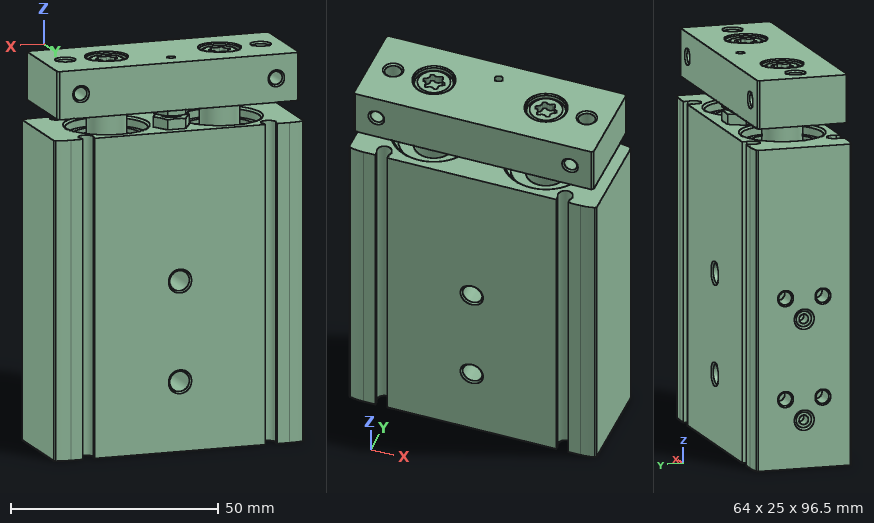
import cadquery as cq
import math

TOTAL_HEIGHT = 96.5
HOUSING_WIDTH = 64.0
HOUSING_DEPTH = 25.0
PLATE_WIDTH = 62.0
PLATE_DEPTH = 23.0
PLATE_THICKNESS = 12.0
STROKE_GAP = 5.0
HOUSING_HEIGHT = TOTAL_HEIGHT - PLATE_THICKNESS - STROKE_GAP
PLATE_BOTTOM = HOUSING_HEIGHT + STROKE_GAP
PLATE_MID = PLATE_BOTTOM + PLATE_THICKNESS / 2

CROWN_START_X = 28.0
CROWN_DROP = 0.5
CORNER_CHAMFER = 0.4

SLOT_X = 23.4
SLOT_DIAMETER = 3.7
SLOT_MOUTH = 3.1
SLOT_CENTRE_DEPTH = 2.1
SLOT_OVERRUN = 1.0

HOLE_PITCH = 25.0
MOUNT_HOLE_DIAMETER = 5.0
MOUNT_HOLE_MOUTH = 5.9
MOUNT_HOLE_Z = 17.4
SIDE_HOLE_DIAMETER = 3.3
SIDE_HOLE_MOUTH = 4.0
SIDE_HOLE_DEPTH = 5.8
SIDE_HOLE_Y = 4.7
PORT_MOUTH = 5.0
PORT_FLOOR_DIAMETER = 3.9
PORT_DEPTH = 0.4
PORT_PILOT_DIAMETER = 2.3
PORT_PILOT_DEPTH = 3.9
PORT_Z = 12.0
DRILL_HALF_ANGLE = 59.0

ROD_X = 14.5
ROD_DIAMETER = 9.8
ROD_INSERTION = 67.55
ROD_TOP_RECESS = 0.6
ROD_NECK_DIAMETER = 9.5
ROD_NECK_LENGTH = 2.9
ROD_END_FLAT = 8.0
ROD_END_CHAMFER_HEIGHT = 0.5
BORE_MOUTH = 21.0
BORE_DIAMETER = 20.0
BORE_DEPTH = 2.5
GLAND_DIAMETER = 17.2
GLAND_DEPTH = 1.2

SOCKET_TIP_DIAMETER = 5.5
SOCKET_VALLEY_DIAMETER = 4.1
SOCKET_FLANK_DIAMETER = 4.7
SOCKET_FLANK_ANGLE = 13.0
SOCKET_LOBES = 6
SOCKET_DEPTH = 1.9

PLATE_CORNER_CHAMFER = 0.5
PLATE_HOLE_X = 25.0
PLATE_TOP_HOLE_DIAMETER = 4.15
PLATE_TOP_HOLE_MOUTH = 5.0
PLATE_CROSS_HOLE_DIAMETER = 3.3
PLATE_CROSS_HOLE_MOUTH = 4.15
PLATE_TOP_HOLE_OVERLAP = 0.02
PLATE_ROD_HOLE_MOUTH = 10.5

BOLT_Y = 6.0
BOLT_DIAMETER = 4.9
BOLT_ACCESS_DIAMETER = 2.0
BOLT_ENGAGEMENT = 7.7
HEX_FLATS = 8.0
HEAD_HEIGHT = 2.6
HEAD_FACE_DIAMETER = 8.0
NUT_HEIGHT = 1.8
NUT_FACE_DIAMETER = 6.85
HEX_CHAMFER_ANGLE = 15.0


def bore(diameter, depth, mouth=None):
    """Cutter for a hole entering at the origin along -Z, with an optional 45 degree mouth."""
    radius = diameter / 2
    cutter = cq.Workplane("XY").circle(radius).extrude(-depth)
    if mouth:
        flare = (mouth - diameter) / 2
        cone = cq.Solid.makeCone(radius, mouth / 2, flare, pnt=cq.Vector(0, 0, -flare))
        cutter = cutter.union(cq.Workplane(cone))
    return cutter


def facing_front(cutter, x, y, z):
    """Turn a cutter so its mouth faces -Y and move it to a point on that face."""
    return cutter.rotate((0, 0, 0), (1, 0, 0), 90).translate((x, y, z))


def facing_left(cutter, x, y, z):
    """Turn a cutter so its mouth faces -X and move it to a point on that face."""
    return cutter.rotate((0, 0, 0), (0, 1, 0), -90).translate((x, y, z))


def through_in_y(diameter, mouth, depth, x, z):
    """Hole through the full depth along Y, flared at both ends."""
    front = facing_front(bore(diameter, depth, mouth), x, -depth / 2, z)
    return front.union(front.mirror("XZ"))


def housing_blank():
    half_x = HOUSING_WIDTH / 2
    half_y = HOUSING_DEPTH / 2
    crown_end = (half_x - CORNER_CHAMFER, half_y - CROWN_DROP)
    run = crown_end[0] - CROWN_START_X
    radius = (run**2 + CROWN_DROP**2) / (2 * CROWN_DROP)
    mid_run = run / 2
    mid_y = half_y - radius + math.sqrt(radius**2 - mid_run**2)
    quarter = (
        cq.Workplane("XY")
        .moveTo(0, 0)
        .lineTo(0, half_y)
        .lineTo(CROWN_START_X, half_y)
        .threePointArc((CROWN_START_X + mid_run, mid_y), crown_end)
        .lineTo(half_x, crown_end[1] - CORNER_CHAMFER)
        .lineTo(half_x, 0)
        .close()
        .extrude(HOUSING_HEIGHT)
    )
    half = quarter.union(quarter.mirror("YZ"))
    return half.union(half.mirror("XZ"))


def sensor_slot(side_x, side_y):
    """Round slot with a narrower mouth, running the full height of the housing."""
    centre_y = HOUSING_DEPTH / 2 - SLOT_CENTRE_DEPTH
    mouth_length = SLOT_CENTRE_DEPTH + SLOT_OVERRUN
    slot = cq.Workplane("XY").circle(SLOT_DIAMETER / 2).extrude(HOUSING_HEIGHT)
    mouth = (
        cq.Workplane("XY")
        .center(0, side_y * mouth_length / 2)
        .rect(SLOT_MOUTH, mouth_length)
        .extrude(HOUSING_HEIGHT)
    )
    return slot.union(mouth).translate((side_x * SLOT_X, side_y * centre_y, 0))


def air_port():
    """Shallow conical seat with a pilot hole in its floor that ends in a drill point."""
    radius = PORT_PILOT_DIAMETER / 2
    point_height = radius / math.tan(math.radians(DRILL_HALF_ANGLE))
    down = cq.Vector(0, 0, -1)
    seat = cq.Solid.makeCone(PORT_MOUTH / 2, PORT_FLOOR_DIAMETER / 2, PORT_DEPTH, dir=down)
    point = cq.Solid.makeCone(radius, 0, point_height, pnt=down * PORT_PILOT_DEPTH, dir=down)
    return bore(PORT_PILOT_DIAMETER, PORT_PILOT_DEPTH).union(cq.Workplane(seat)).union(cq.Workplane(point))


def rod_bore():
    """Flared recess with a shallow gland step and the hole the rod runs in."""
    recess = bore(BORE_DIAMETER, BORE_DEPTH, BORE_MOUTH)
    step = bore(GLAND_DIAMETER, BORE_DEPTH + GLAND_DEPTH)
    guide = bore(ROD_DIAMETER, ROD_INSERTION)
    return recess.union(step).union(guide)


def make_housing():
    housing = housing_blank()
    left_x = -HOUSING_WIDTH / 2
    for side_x in (-1, 1):
        for side_y in (-1, 1):
            housing = housing.cut(sensor_slot(side_x, side_y))
        housing = housing.cut(rod_bore().translate((side_x * ROD_X, 0, HOUSING_HEIGHT)))
    side_hole = bore(SIDE_HOLE_DIAMETER, SIDE_HOLE_DEPTH, SIDE_HOLE_MOUTH)
    for rise in (0, HOLE_PITCH):
        mount_z = MOUNT_HOLE_Z + rise
        mount_hole = through_in_y(MOUNT_HOLE_DIAMETER, MOUNT_HOLE_MOUTH, HOUSING_DEPTH, 0, mount_z)
        housing = housing.cut(mount_hole)
        housing = housing.cut(facing_left(air_port(), left_x, 0, PORT_Z + rise))
        for y in (-SIDE_HOLE_Y, SIDE_HOLE_Y):
            housing = housing.cut(facing_left(side_hole, left_x, y, mount_z))
    return housing


def make_plate():
    plate = (
        cq.Workplane("XY", origin=(0, 0, PLATE_BOTTOM))
        .rect(PLATE_WIDTH, PLATE_DEPTH)
        .extrude(PLATE_THICKNESS)
        .edges("|Z")
        .chamfer(PLATE_CORNER_CHAMFER)
    )
    top_hole_depth = (PLATE_THICKNESS - PLATE_CROSS_HOLE_DIAMETER) / 2 + PLATE_TOP_HOLE_OVERLAP
    top_hole = bore(PLATE_TOP_HOLE_DIAMETER, top_hole_depth, PLATE_TOP_HOLE_MOUTH)
    rod_hole = bore(ROD_DIAMETER, PLATE_THICKNESS, PLATE_ROD_HOLE_MOUTH)
    for side in (-1, 1):
        hole_x = side * PLATE_HOLE_X
        cross_hole = through_in_y(
            PLATE_CROSS_HOLE_DIAMETER, PLATE_CROSS_HOLE_MOUTH, PLATE_DEPTH, hole_x, PLATE_MID
        )
        plate = plate.cut(cross_hole)
        plate = plate.cut(top_hole.translate((hole_x, 0, TOTAL_HEIGHT)))
        plate = plate.cut(rod_hole.translate((side * ROD_X, 0, TOTAL_HEIGHT)))
    access = bore(BOLT_ACCESS_DIAMETER, PLATE_THICKNESS).translate((0, BOLT_Y, TOTAL_HEIGHT))
    bolt_hole = bore(BOLT_DIAMETER, BOLT_ENGAGEMENT).translate((0, BOLT_Y, PLATE_BOTTOM + BOLT_ENGAGEMENT))
    return plate.cut(access).cut(bolt_hole)


def polar(diameter, degrees):
    angle = math.radians(degrees)
    radius = diameter / 2
    return (radius * math.cos(angle), radius * math.sin(angle))


def lobed_socket():
    """Six-lobed recess entering at the origin along -Z, with one lobe on +X."""
    pitch = 360 / SOCKET_LOBES
    outline = cq.Workplane("XY").moveTo(*polar(SOCKET_FLANK_DIAMETER, -SOCKET_FLANK_ANGLE))
    for lobe in range(SOCKET_LOBES):
        angle = lobe * pitch
        outline = outline.threePointArc(
            polar(SOCKET_TIP_DIAMETER, angle),
            polar(SOCKET_FLANK_DIAMETER, angle + SOCKET_FLANK_ANGLE),
        )
        outline = outline.threePointArc(
            polar(SOCKET_VALLEY_DIAMETER, angle + pitch / 2),
            polar(SOCKET_FLANK_DIAMETER, angle + pitch - SOCKET_FLANK_ANGLE),
        )
    return outline.close().extrude(-SOCKET_DEPTH)


def make_rod(x):
    bottom = HOUSING_HEIGHT - ROD_INSERTION
    top = TOTAL_HEIGHT - ROD_TOP_RECESS
    chamfer_width = (ROD_NECK_DIAMETER - ROD_END_FLAT) / 2
    rod = (
        cq.Workplane("XY", origin=(x, 0, bottom))
        .circle(ROD_DIAMETER / 2)
        .extrude(top - ROD_NECK_LENGTH - bottom)
        .faces(">Z")
        .workplane()
        .circle(ROD_NECK_DIAMETER / 2)
        .extrude(ROD_NECK_LENGTH)
        .faces(">Z")
        .chamfer(ROD_END_CHAMFER_HEIGHT, chamfer_width)
    )
    return rod.cut(lobed_socket().translate((x, 0, top)))


def chamfered_hex(height, face_diameter):
    """Hexagon standing on Z = 0 with corners on X and its top corners turned down to a round face."""
    corner_radius = HEX_FLATS / math.sqrt(3)
    face_radius = face_diameter / 2
    chamfer_height = (corner_radius - face_radius) * math.tan(math.radians(HEX_CHAMFER_ANGLE))
    straight_height = height - chamfer_height
    turned = cq.Workplane("XY").circle(corner_radius).extrude(straight_height)
    cone = cq.Solid.makeCone(corner_radius, face_radius, chamfer_height, pnt=cq.Vector(0, 0, straight_height))
    hexagon = cq.Workplane("XY").polygon(6, 2 * corner_radius).extrude(height)
    return hexagon.intersect(turned.union(cq.Workplane(cone)))


def bolt_cylinder(length):
    """Cylinder of the bolt diameter rising from the housing top."""
    base = cq.Workplane("XY", origin=(0, BOLT_Y, HOUSING_HEIGHT))
    return base.circle(BOLT_DIAMETER / 2).extrude(length)


def make_stop_bolt():
    head = chamfered_hex(HEAD_HEIGHT, HEAD_FACE_DIAMETER).translate((0, BOLT_Y, HOUSING_HEIGHT))
    shank_length = STROKE_GAP + BOLT_ENGAGEMENT
    return head.union(bolt_cylinder(shank_length))


def make_lock_nut():
    nut = chamfered_hex(NUT_HEIGHT, NUT_FACE_DIAMETER).mirror("XY").translate((0, BOLT_Y, PLATE_BOTTOM))
    return nut.cut(bolt_cylinder(STROKE_GAP))


housing = make_housing()
plate = make_plate()
rods = [make_rod(side * ROD_X) for side in (-1, 1)]
stop_bolt = make_stop_bolt()
lock_nut = make_lock_nut()

result = cq.Compound.makeCompound(
    [housing.val(), plate.val(), *[rod.val() for rod in rods], stop_bolt.val(), lock_nut.val()]
)